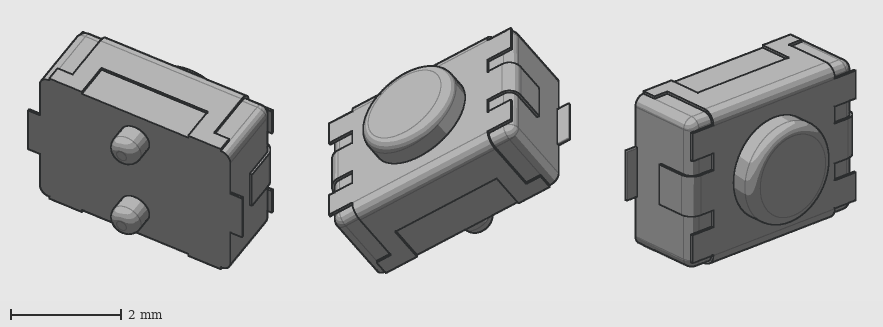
import cadquery as cq

overall_length = 4.5
overall_depth = 2.55
overall_height = 3.1

sheet = 0.05
pin_length = 0.5
button_length = 0.5
housing_length = 4.0
housing_depth = overall_depth - pin_length - button_length - sheet
housing_height = overall_height - 2 * sheet
corner_radius = 0.2
flat_length = housing_length - 2 * corner_radius
flat_height = housing_height - 2 * corner_radius

cover_front = housing_depth + sheet
bend_radius = corner_radius + sheet
strap_length = 2.975
skirt_depth = 0.3
window_length = 2.23
window_depth = 0.71
clip_height = 0.8
clip_end = 0.7
finger_inner = 0.742

terminal_length = 0.5
terminal_height = 1.0
terminal_round = 0.015
button_radius = 1.0
button_round = 0.2
pin_radius = 0.3
pin_round = 0.2
pin_offset = 0.9


def block(length, y_start, y_end, height, x=0, z=0):
    """Box centred on x and z, running from y_start to y_end."""
    depth = y_end - y_start
    return cq.Workplane("XY").box(length, depth, height).translate((x, y_start + depth / 2, z))


def round_post(radius, y_start, length, tip_radius, z=0):
    """Cylinder along Y with a rounded tip; a negative length points toward -Y."""
    tip = ">Y" if length > 0 else "<Y"
    post = cq.Workplane("XZ").circle(radius).extrude(-length).edges(tip).fillet(tip_radius)
    return post.translate((0, y_start, z))


def make_housing():
    housing = block(housing_length, 0, housing_depth, housing_height)
    return housing.edges("|Y or >Y").fillet(corner_radius)


def make_cover():
    """Cover envelope; the housing later fills everything inside the sheet."""
    cover = block(strap_length, 0, cover_front, overall_height)
    cover = cover.edges("|X and >Y").fillet(bend_radius)
    cover = cover.union(block(flat_length, 0, skirt_depth, overall_height))

    clips = block(housing_length + 2 * sheet, clip_end, cover_front, clip_height)
    cover = cover.union(clips.edges("|Z and >Y").fillet(bend_radius))

    finger_height = flat_height / 2 - finger_inner
    finger_center = finger_inner + finger_height / 2
    for side in (-1, 1):
        fingers = block(housing_length, housing_depth, cover_front, finger_height, z=side * finger_center)
        window_z = side * (housing_height + sheet) / 2
        window = block(window_length, 0, window_depth, sheet, z=window_z)
        cover = cover.union(fingers).cut(window)
    return cover


result = make_housing().union(make_cover())

result = result.union(round_post(button_radius, cover_front, button_length, button_round))

for side in (-1, 1):
    terminal_x = side * (overall_length - terminal_length) / 2
    terminal = block(terminal_length, 0, sheet, terminal_height, x=terminal_x)
    result = result.union(terminal.edges("|Y or >Y").fillet(terminal_round))
    result = result.union(round_post(pin_radius, 0, -pin_length, pin_round, z=side * pin_offset))